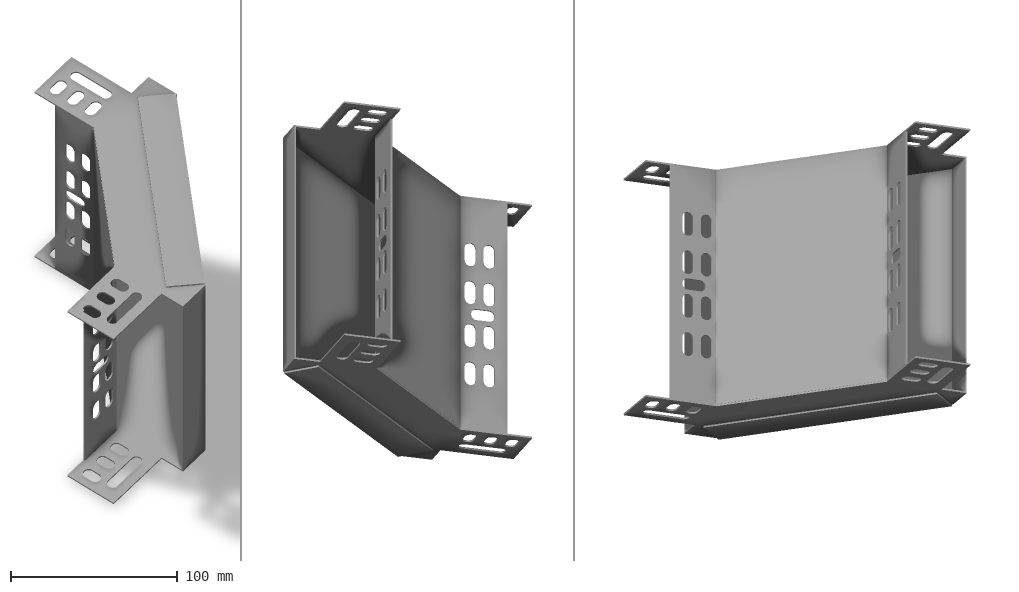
import cadquery as cq
import math

overall_side = 176.2
overall_height = 153.3
sheet = 1.1

tongue_inner_edge = 124.2
tongue_outer_edge = 159.8
tongue_length = 46.2
plate_bend = 45.6
wall_overhang = 0.2
inner_wall_start = 15.7
tray_height = overall_height - 2 * sheet
gap_between_plates = tray_height - 2 * sheet

outer_corner = 68.0
lip_width = 23.3
corner_relief = 0.7

slot_width = 7.0
long_slot_length = 30.0
long_slot_along = 23.3
long_slot_across = 149.5
short_slot_length = 12.2
short_slot_across = 136.0
short_slot_middle = 22.4
short_slot_pitch = 13.4

wall_slot_length = 15.0
wall_slot_columns = (27.1, 39.1)
wall_slot_heights = (14.0, 38.4)
middle_slot_along = wall_slot_columns[0] + (wall_slot_length - slot_width) / 2

diagonal_sheet = sheet * math.sqrt(2)
wall_bend = plate_bend - wall_overhang * math.sqrt(2)
inside_corner = outer_corner - corner_relief + sheet - diagonal_sheet
bend_shift = sheet * math.tan(math.pi / 8)


def prism(points, height, base):
    """Upright prism on a closed XY outline."""
    return cq.Workplane("XY", origin=(0, 0, base)).polyline(points).close().extrude(height)


def mirrored(body):
    """Copy of a body on the other side of the plane x = y."""
    return body.mirror("YZ").rotate((0, 0, 0), (0, 0, 1), -90)


def with_mirror_points(points):
    """Points of one half of an outline, followed by their mirror images in reverse order."""
    return points + [(y, x) for x, y in reversed(points)]


def tray_plate(base):
    """Level plate that fills the corner up to the inside of the cover."""
    inside = overall_side - sheet
    half = [
        (plate_bend, tongue_inner_edge),
        (0, tongue_inner_edge),
        (0, tongue_outer_edge),
        (tongue_length, tongue_outer_edge),
        (tongue_length, inside),
        (inside_corner, inside),
    ]
    return prism(with_mirror_points(half), sheet, base)


def inner_wall():
    """Diagonal wall with a straight end along each tongue."""
    back = [
        (wall_bend + bend_shift, tongue_inner_edge + sheet),
        (inner_wall_start, tongue_inner_edge + sheet),
    ]
    front = [
        (inner_wall_start, tongue_inner_edge),
        (wall_bend, tongue_inner_edge),
    ]
    return prism(with_mirror_points(back + front), gap_between_plates, -gap_between_plates / 2)


def tongue_slots():
    """Cutter for the slots through both plates of the tongue along X."""
    short_places = [
        (short_slot_middle + step * short_slot_pitch, short_slot_across) for step in (-1, 0, 1)
    ]
    level = cq.Workplane("XY", origin=(0, 0, -overall_height / 2))
    long_slot = (
        level.center(long_slot_along, long_slot_across)
        .slot2D(long_slot_length, slot_width)
        .extrude(overall_height)
    )
    short_slots = (
        level.pushPoints(short_places)
        .slot2D(short_slot_length, slot_width, 90)
        .extrude(overall_height)
    )
    return long_slot.union(short_slots)


def wall_slots():
    """Cutter for the slots through the inner wall end along X."""
    places = [(x, side * z) for x in wall_slot_columns for z in wall_slot_heights for side in (-1, 1)]
    face = cq.Workplane("XZ", origin=(0, tongue_inner_edge, 0))
    upright = face.pushPoints(places).slot2D(wall_slot_length, slot_width, 90).extrude(-2 * sheet)
    middle = face.center(middle_slot_along, 0).slot2D(wall_slot_length, slot_width).extrude(-2 * sheet)
    return upright.union(middle)


def make_tray():
    """Both plates and the inner wall, with all slots."""
    body = inner_wall()
    for base in (gap_between_plates / 2, -tray_height / 2):
        body = body.union(tray_plate(base))
    for cutter in (tongue_slots(), wall_slots()):
        body = body.cut(cutter).cut(mirrored(cutter))
    return body


def make_cover():
    """Diagonal outer wall with two end walls, and a lip above and below the tray."""
    inside = overall_side - sheet
    fold = overall_side - corner_relief
    half = [
        (inside_corner, inside),
        (tongue_length, inside),
        (tongue_length, overall_side),
        (outer_corner, overall_side),
        (outer_corner, fold),
    ]
    body = prism(with_mirror_points(half), tray_height, -tray_height / 2)
    reach = lip_width / math.sqrt(2)
    lip = with_mirror_points([(outer_corner - reach, fold - reach), (outer_corner, fold)])
    for base in (tray_height / 2, -overall_height / 2):
        body = body.union(prism(lip, sheet, base))
    return body


tray = make_tray()
cover = make_cover()
result = cq.Compound.makeCompound([tray.val(), cover.val()])